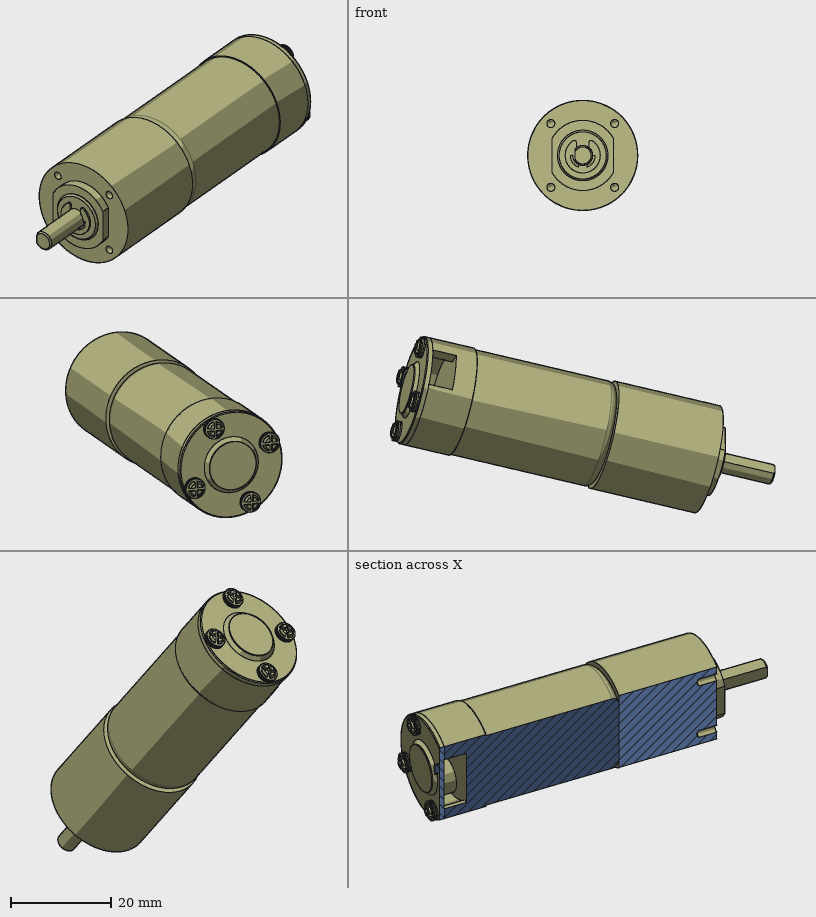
import cadquery as cq
import math


BODY_DIAMETER = 22.0
GEARBOX_LENGTH = 21.8
PILOT_DIAMETER = 14.0
PILOT_WIDTH = 12.3
PILOT_HEIGHT = 1.9
COLLAR_DIAMETER = 10.1
COLLAR_HEIGHT = 0.5
COLLAR_CHAMFER_HEIGHT = 0.4
COLLAR_CHAMFER_WIDTH = 0.35
MOUNT_HOLE_COUNT = 4
MOUNT_HOLE_START_ANGLE = 45.0
MOUNT_CIRCLE_DIAMETER = 18.0
MOUNT_HOLE_DIAMETER = 1.6
MOUNT_HOLE_DEPTH = 4.0
DRILL_POINT_ANGLE = 118.0

SHAFT_DIAMETER = 4.0
SHAFT_REACH = 13.75
SHAFT_INSERTION = 10.0
SHAFT_CHAMFER = 0.3
FLAT_OFFSET = 1.5
RING_DIAMETER = 7.0
RING_THICKNESS = 0.4
RING_MOUTH_WIDTH = 2.55
RING_MOUTH_ROUND = 0.4
RING_RELIEF_DIAMETER = 4.95
RING_FOOT_WIDTH = 1.65

CAN_DIAMETER = 21.5
CAN_ROUND = 1.5
CAN_END = 51.4
CAP_LENGTH = 9.3
PLATE_THICKNESS = 1.15
PLATE_CHAMFER = 0.2
REAR_ANGLE = 19.0
CAVITY_DIAMETER = 17.0
WINDOW_WIDTH = 8.0
WINDOW_LENGTH = 4.9
POST_DIAMETER = 7.4
POST_OFFSET = 5.1
BOSS_BASE_DIAMETER = 11.6
BOSS_TOP_DIAMETER = 10.0
BOSS_TAPER_HEIGHT = 0.7
BOSS_RIM_HEIGHT = 0.25

SCREW_COUNT = 4
SCREW_START_ANGLE = 45.0
SCREW_CIRCLE_DIAMETER = 17.8
SCREW_RIM_DIAMETER = 4.1
SCREW_RIM_HEIGHT = 0.28
SCREW_NECK_DIAMETER = 3.9
SCREW_NECK_HEIGHT = 0.34
SCREW_CROWN_DIAMETER = 3.2
SCREW_CROWN_HEIGHT = 0.55
SCREW_CROWN_CHAMFER = 0.35
SCREW_SLOT_WIDTH = 0.6

collar_face = -PILOT_HEIGHT - COLLAR_HEIGHT
ring_face = collar_face - RING_THICKNESS
cap_end = CAN_END + CAP_LENGTH
plate_end = cap_end + PLATE_THICKNESS
shaft_radius = SHAFT_DIAMETER / 2


def section_at(y):
    """Workplane across the motor axis: local x is X, local y is Z, and extrusions grow toward -Y."""
    return cq.Workplane("XZ", origin=(0, y, 0))


def cylinder(diameter, y_start, y_end):
    """Cylinder on the motor axis from y_start to the larger y_end."""
    return section_at(y_end).circle(diameter / 2).extrude(y_end - y_start)


def turned(shape, angle):
    """Turn a shape about the motor axis, counting from +X toward +Z."""
    return shape.rotate((0, 0, 0), (0, -1, 0), angle)


def make_mount_holes():
    """Four blind holes in the mounting face, each ending in a drill point."""
    hole_radius = MOUNT_HOLE_DIAMETER / 2
    point_depth = hole_radius / math.tan(math.radians(DRILL_POINT_ANGLE / 2))
    hole = (
        cq.Workplane("XY")
        .moveTo(0, 0)
        .lineTo(hole_radius, 0)
        .lineTo(hole_radius, MOUNT_HOLE_DEPTH)
        .lineTo(0, MOUNT_HOLE_DEPTH + point_depth)
        .close()
        .revolve(360, (0, 0, 0), (0, 1, 0))
        .translate((MOUNT_CIRCLE_DIAMETER / 2, 0, 0))
    )
    holes = turned(hole, MOUNT_HOLE_START_ANGLE)
    for index in range(1, MOUNT_HOLE_COUNT):
        holes = holes.union(turned(hole, MOUNT_HOLE_START_ANGLE + index * 360 / MOUNT_HOLE_COUNT))
    return holes


def make_gearbox():
    """Housing with a two-flat pilot, a chamfered collar, the shaft bore and the mounting holes."""
    housing = cylinder(BODY_DIAMETER, 0, GEARBOX_LENGTH)
    flats = cq.Workplane().box(PILOT_WIDTH, 2 * PILOT_HEIGHT, PILOT_DIAMETER)
    pilot = cylinder(PILOT_DIAMETER, -PILOT_HEIGHT, 0).intersect(flats)
    collar = (
        cylinder(COLLAR_DIAMETER, collar_face, -PILOT_HEIGHT)
        .faces("<Y")
        .chamfer(COLLAR_CHAMFER_HEIGHT, COLLAR_CHAMFER_WIDTH)
    )
    shaft_bore = cylinder(SHAFT_DIAMETER, collar_face, SHAFT_INSERTION)
    return housing.union(pilot).union(collar).cut(shaft_bore).cut(make_mount_holes())


def make_retaining_ring():
    """E-shaped ring with its mouth toward +Z and a relief pocket on each side of the foot lobe."""
    relief_radius = RING_RELIEF_DIAMETER / 2
    disc = cylinder(RING_DIAMETER, ring_face, collar_face)
    mouth = (
        section_at(collar_face)
        .center(0, RING_DIAMETER / 2)
        .rect(RING_MOUTH_WIDTH, RING_DIAMETER)
        .extrude(RING_THICKNESS)
    )
    lower_half = (
        section_at(collar_face)
        .center(0, -relief_radius / 2)
        .rect(RING_RELIEF_DIAMETER, relief_radius)
        .extrude(RING_THICKNESS)
    )
    foot = (
        section_at(collar_face)
        .center(0, -relief_radius / 2)
        .rect(RING_FOOT_WIDTH, relief_radius)
        .extrude(RING_THICKNESS)
    )
    relief = cylinder(RING_RELIEF_DIAMETER, ring_face, collar_face).intersect(lower_half).cut(foot)
    mouth_corner_z = math.sqrt(RING_DIAMETER**2 - RING_MOUTH_WIDTH**2) / 2
    mouth_corners = cq.selectors.BoxSelector(
        (-RING_MOUTH_WIDTH, ring_face, mouth_corner_z - RING_MOUTH_ROUND),
        (RING_MOUTH_WIDTH, collar_face, mouth_corner_z + RING_MOUTH_ROUND),
    )
    ring = disc.cut(mouth).edges("|Y").edges(mouth_corners).fillet(RING_MOUTH_ROUND)
    return ring.cut(relief)


def make_shaft():
    """Round shaft with a flat on its -X side from the retaining ring to the tip."""
    shaft = cylinder(SHAFT_DIAMETER, -SHAFT_REACH, SHAFT_INSERTION).faces("<Y").chamfer(SHAFT_CHAMFER)
    flat_cut = (
        section_at(ring_face)
        .center(-FLAT_OFFSET - shaft_radius, 0)
        .rect(SHAFT_DIAMETER, 2 * SHAFT_DIAMETER)
        .extrude(SHAFT_REACH + ring_face)
    )
    return shaft.cut(flat_cut).union(make_retaining_ring())


def make_motor():
    """Motor can with a wider rear cap that is hollow and has a window in its side."""
    can = cylinder(CAN_DIAMETER, GEARBOX_LENGTH, CAN_END).faces("<Y").edges().fillet(CAN_ROUND)
    cap = cylinder(BODY_DIAMETER, CAN_END, cap_end)

    window_start = cap_end - WINDOW_LENGTH
    cavity = cylinder(CAVITY_DIAMETER, window_start, cap_end)
    window = (
        section_at(cap_end)
        .center(-BODY_DIAMETER / 2, 0)
        .rect(BODY_DIAMETER, WINDOW_WIDTH)
        .extrude(WINDOW_LENGTH)
    )
    post = section_at(cap_end).center(0, -POST_OFFSET).circle(POST_DIAMETER / 2).extrude(WINDOW_LENGTH)
    hollow = turned(cavity.union(window).cut(post), REAR_ANGLE)
    return can.union(cap.cut(hollow))


def make_plate():
    """Rear plate that closes the motor cavity, with a tapered boss that ends in a short cylinder."""
    plate = cylinder(BODY_DIAMETER, cap_end, plate_end).faces(">Y").chamfer(PLATE_CHAMFER)
    taper = (
        section_at(plate_end)
        .circle(BOSS_BASE_DIAMETER / 2)
        .workplane(offset=-BOSS_TAPER_HEIGHT)
        .circle(BOSS_TOP_DIAMETER / 2)
        .loft()
    )
    taper_end = plate_end + BOSS_TAPER_HEIGHT
    rim = cylinder(BOSS_TOP_DIAMETER, taper_end, taper_end + BOSS_RIM_HEIGHT)
    return plate.union(taper).union(rim)


def make_screw(x, z):
    """Screw head on the rear plate: two flat rims joined by a neck, and a raised crown with a cross slot."""
    base_top = plate_end + SCREW_RIM_HEIGHT
    neck_top = base_top + SCREW_NECK_HEIGHT
    rim_top = neck_top + SCREW_RIM_HEIGHT
    crown_top = rim_top + SCREW_CROWN_HEIGHT
    base = cylinder(SCREW_RIM_DIAMETER, plate_end, base_top)
    neck = cylinder(SCREW_NECK_DIAMETER, base_top, neck_top)
    rim = cylinder(SCREW_RIM_DIAMETER, neck_top, rim_top)
    crown = cylinder(SCREW_CROWN_DIAMETER, rim_top, crown_top).faces(">Y").chamfer(SCREW_CROWN_CHAMFER)
    for slot_turn in (0, 90):
        slot = section_at(crown_top).rect(SCREW_CROWN_DIAMETER, SCREW_SLOT_WIDTH).extrude(SCREW_CROWN_HEIGHT)
        crown = crown.cut(turned(slot, slot_turn))
    return base.union(neck).union(rim).union(crown).translate((x, 0, z))


def make_screws():
    """Screws evenly spaced around the rear plate."""
    screws = []
    for index in range(SCREW_COUNT):
        angle = math.radians(REAR_ANGLE + SCREW_START_ANGLE + index * 360 / SCREW_COUNT)
        x = SCREW_CIRCLE_DIAMETER / 2 * math.cos(angle)
        z = SCREW_CIRCLE_DIAMETER / 2 * math.sin(angle)
        screws.append(make_screw(x, z))
    return screws


gearbox = make_gearbox()
shaft = make_shaft()
motor = make_motor()
plate = make_plate()
screws = make_screws()

result = cq.Compound.makeCompound(
    [gearbox.val(), shaft.val(), motor.val(), plate.val(), *[screw.val() for screw in screws]]
)